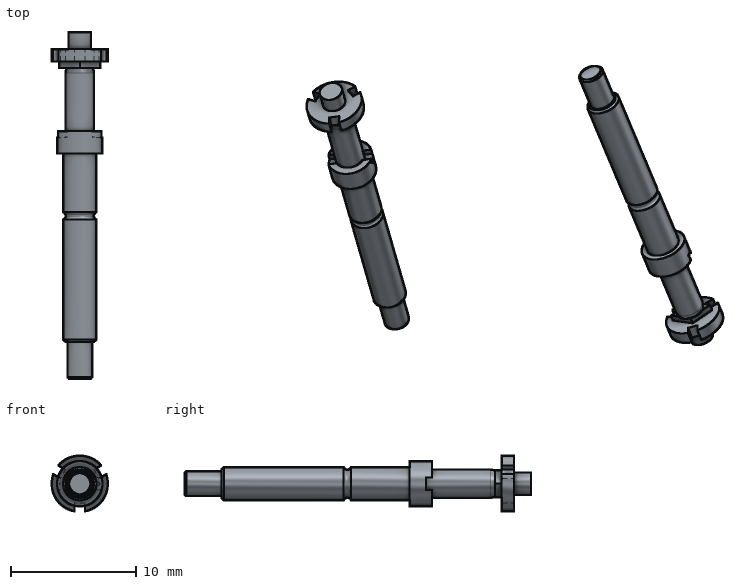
import cadquery as cq
import math

pin_end = 9.7
flange_back = 8.35
flange_front = 7.35
rhombus_front = 6.83
neck_cone_front = 6.45
collar_back = 1.8
collar_front = 0.0
groove_center = -4.98
barrel_end = -15.05
plunger_end = -18.0

pin_dia = 1.83
flange_dia = 4.5
neck_dia = 2.3
neck_end_dia = 2.15
collar_dia = 3.63
barrel_dia = 2.66
plunger_dia = 2.0

barrel_chamfer = 0.2
plunger_chamfer = 0.15
groove_width = 0.6
groove_depth = 0.2

notch_count = 3
notch_width = 0.8
notch_floor_radius = 1.55
first_notch_angle = -90.0

rhombus_width = 3.3
rhombus_height = 2.18

slot_width = 1.0
slot_depth = 0.5


def turned_body():
    """Revolve the half profile of the plunger, barrel and neck about the Y axis."""
    barrel_radius = barrel_dia / 2
    plunger_radius = plunger_dia / 2
    groove_half = groove_width / 2
    profile = (
        cq.Workplane("XY")
        .moveTo(0, plunger_end)
        .lineTo(plunger_radius - plunger_chamfer, plunger_end)
        .lineTo(plunger_radius, plunger_end + plunger_chamfer)
        .lineTo(plunger_radius, barrel_end)
        .lineTo(barrel_radius - barrel_chamfer, barrel_end)
        .lineTo(barrel_radius, barrel_end + barrel_chamfer)
        .lineTo(barrel_radius, groove_center - groove_half)
        .threePointArc(
            (barrel_radius - groove_depth, groove_center),
            (barrel_radius, groove_center + groove_half),
        )
        .lineTo(barrel_radius, collar_front)
        .lineTo(neck_dia / 2, collar_front)
        .lineTo(neck_dia / 2, neck_cone_front)
        .lineTo(neck_end_dia / 2, rhombus_front)
        .lineTo(0, rhombus_front)
        .close()
    )
    return profile.revolve(360, (0, 0, 0), (0, 1, 0))


def cross_plane(y):
    """Workplane across the axis at y; local x is X, local y is Z and extrusion runs toward -Y."""
    return cq.Workplane("XZ", origin=(0, y, 0))


def rhombic_key():
    """Rhombus with its long diagonal along X."""
    half_width = rhombus_width / 2
    half_height = rhombus_height / 2
    corners = [(half_width, 0), (0, half_height), (-half_width, 0), (0, -half_height)]
    thickness = flange_front - rhombus_front
    return cross_plane(flange_front).polyline(corners).close().extrude(thickness)


def notched_flange():
    """Disc with evenly spaced, flat-floored notches cut in from its rim."""
    thickness = flange_back - flange_front
    flange = cross_plane(flange_back).circle(flange_dia / 2).extrude(thickness)
    cutter_length = flange_dia / 2
    for index in range(notch_count):
        angle = first_notch_angle + index * 360 / notch_count
        center_radius = notch_floor_radius + cutter_length / 2
        center_x = center_radius * math.cos(math.radians(angle))
        center_z = center_radius * math.sin(math.radians(angle))
        notch = (
            cross_plane(flange_back)
            .center(center_x, center_z)
            .transformed(rotate=(0, 0, angle))
            .rect(cutter_length, notch_width)
            .extrude(thickness)
        )
        flange = flange.cut(notch)
    return flange


def rear_pin():
    """Plain round pin behind the flange."""
    return cross_plane(pin_end).circle(pin_dia / 2).extrude(pin_end - flange_back)


def slotted_collar():
    """Collar with a slot along X across its rear face; the neck later refills the middle."""
    thickness = collar_back - collar_front
    collar = cross_plane(collar_back).circle(collar_dia / 2).extrude(thickness)
    slot = cross_plane(collar_back).rect(collar_dia, slot_width).extrude(slot_depth)
    return collar.cut(slot)


result = (
    turned_body()
    .union(slotted_collar())
    .union(rhombic_key())
    .union(notched_flange())
    .union(rear_pin())
)